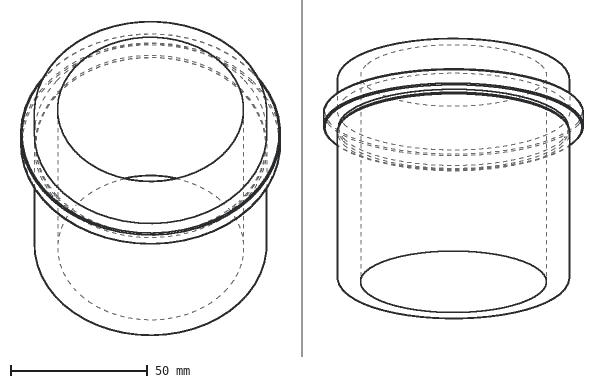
import cadquery as cq

flange_diameter = 95.0
body_diameter = 85.0
bore_diameter = 68.0
total_height = 80.0

collar_height = 14.0
flange_thickness = 6.2
flange_chamfer = 0.5
groove_width = 1.9
groove_depth = 0.5
groove_flank = 0.8

end_radius = 2.1

flange_top = total_height - collar_height
flange_bottom = flange_top - flange_thickness
groove_bottom = flange_bottom - groove_width


def make_body():
    """Solid cylinder with both end edges rounded."""
    body = cq.Workplane("XY").circle(body_diameter / 2).extrude(total_height)
    return body.faces("<Z or >Z").edges().fillet(end_radius)


def make_groove():
    """Ring cutter with a square upper flank and a sloping lower flank."""
    outer = body_diameter / 2
    inner = outer - groove_depth
    profile = (
        cq.Workplane("XZ")
        .moveTo(outer, groove_bottom)
        .lineTo(inner, groove_bottom + groove_flank)
        .lineTo(inner, flange_bottom)
        .lineTo(outer, flange_bottom)
        .close()
    )
    return profile.revolve(360, (0, 0, 0), (0, 1, 0))


def make_flange():
    """Disc with both rim edges chamfered."""
    flange = (
        cq.Workplane("XY")
        .workplane(offset=flange_bottom)
        .circle(flange_diameter / 2)
        .extrude(flange_thickness)
    )
    return flange.edges().chamfer(flange_chamfer)


def make_bore():
    return cq.Workplane("XY").circle(bore_diameter / 2).extrude(total_height)


result = make_body().cut(make_groove()).union(make_flange()).cut(make_bore())